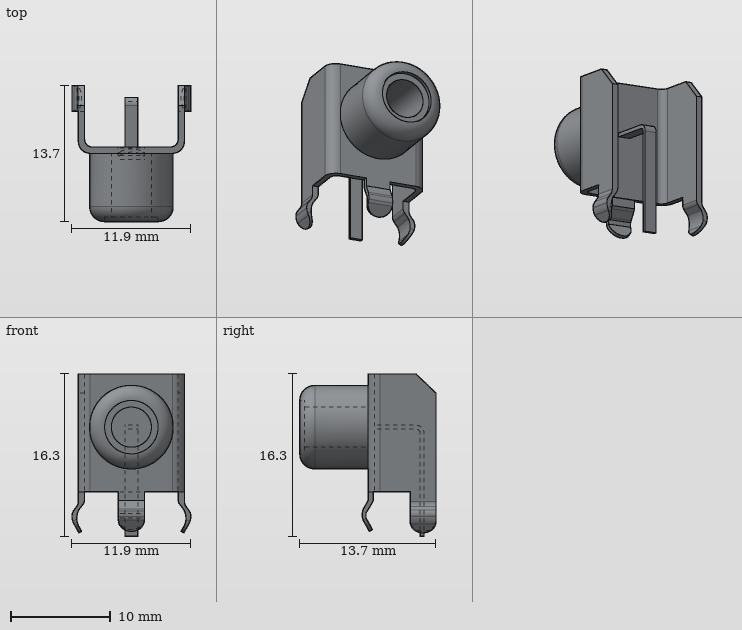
import cadquery as cq
import math


half_width = 5.33
sheet = 0.65
bend_radius = 1.19
inner_bend_radius = 0.73
bracket_top = 5.35
bracket_bottom = -6.49
bracket_depth = 6.82
corner_cut_depth = 2.02
corner_cut_height = 1.92

barrel_diameter = 8.4
barrel_length = 6.87
rim_diameter = 5.37
rim_recess_depth = 0.49
bore_diameter = 4.03
rim_radius = (barrel_diameter - rim_diameter) / 2

strip_width = 1.3
strip_thickness = 0.39
strip_bend_radius = 0.82
strip_rear = 5.61
overall_height = 16.31
strip_bottom = bracket_top - overall_height

side_leg_width = 2.61
front_leg_width = 2.65
tail_angle = 29.0
tail_drop = 1.63
tail_inset = tail_drop * math.tan(math.radians(tail_angle))
cap_reach = 16.31


def make_bracket():
    outer = (
        cq.Workplane("XY").workplane(offset=bracket_bottom)
        .rect(2 * half_width, 2 * bracket_depth)
        .extrude(bracket_top - bracket_bottom)
        .translate((0, bracket_depth, 0))
        .edges("|Z and <Y").fillet(bend_radius)
    )
    inner = (
        cq.Workplane("XY").workplane(offset=bracket_bottom)
        .rect(2 * (half_width - sheet), 2 * bracket_depth)
        .extrude(bracket_top - bracket_bottom)
        .translate((0, bracket_depth + sheet, 0))
        .edges("|Z and <Y").fillet(inner_bend_radius)
    )
    side_outline = (
        cq.Workplane("YZ")
        .moveTo(0, bracket_bottom)
        .lineTo(bracket_depth, bracket_bottom)
        .lineTo(bracket_depth, bracket_top - corner_cut_height)
        .lineTo(bracket_depth - corner_cut_depth, bracket_top)
        .lineTo(0, bracket_top)
        .close()
        .extrude(half_width, both=True)
    )
    return outer.cut(inner).intersect(side_outline)


def make_barrel():
    rim_start = barrel_length - rim_radius
    barrel = (
        cq.Workplane("XY")
        .lineTo(barrel_diameter / 2, 0)
        .lineTo(barrel_diameter / 2, -rim_start)
        .radiusArc((rim_diameter / 2, -barrel_length), rim_radius)
        .lineTo(0, -barrel_length)
        .close()
        .revolve(360, (0, 0, 0), (0, 1, 0))
    )
    bore = cq.Workplane("XZ").circle(bore_diameter / 2).extrude(barrel_length)
    recess = (
        cq.Workplane("XZ").workplane(offset=barrel_length - rim_recess_depth)
        .circle(rim_diameter / 2).extrude(rim_recess_depth)
    )
    return barrel.cut(bore).cut(recess)


def make_strip():
    strip_top = strip_thickness / 2
    inner_radius = strip_bend_radius - strip_thickness
    horizontal_end = strip_rear - strip_bend_radius
    vertical_start = strip_top - strip_bend_radius
    return (
        cq.Workplane("YZ")
        .moveTo(sheet / 2, strip_top)
        .lineTo(horizontal_end, strip_top)
        .radiusArc((strip_rear, vertical_start), strip_bend_radius)
        .lineTo(strip_rear, strip_bottom)
        .lineTo(strip_rear - strip_thickness, strip_bottom)
        .lineTo(strip_rear - strip_thickness, vertical_start)
        .radiusArc((horizontal_end, strip_top - strip_thickness), -inner_radius)
        .lineTo(sheet / 2, strip_top - strip_thickness)
        .close()
        .extrude(strip_width / 2, both=True)
    )


def round_tail(leg, width, cap_center):
    """Round the leg's tail with a half circle lying in the tail's sloping plane."""
    slope = math.radians(tail_angle)
    plane = cq.Plane(
        origin=(cap_center[0], 0, cap_center[1]),
        xDir=(0, 1, 0),
        normal=(math.cos(slope), 0, -math.sin(slope)),
    )
    disc = cq.Workplane(plane).circle(width / 2).extrude(cap_reach, both=True)
    shank = (
        cq.Workplane("XY").box(width, cap_reach, 2 * cap_reach)
        .translate((0, cap_reach / 2, 0))
        .val().moved(cq.Location(plane))
    )
    return leg.intersect(disc.union(cq.Workplane(shank)))


def make_side_leg():
    profile = (
        cq.Workplane("XZ")
        .lineTo(0, -0.98)
        .radiusArc((0.15, -1.45), -0.8)
        .lineTo(0.4, -1.81)
        .threePointArc((0.59, -2.12), (0.64, -2.45))
        .lineTo(0.64, -2.5)
        .threePointArc((0.59, -2.85), (0.44, -3.21))
        .line(-tail_inset, -tail_drop)
        .lineTo(-0.75, -4.68)
        .lineTo(-0.02, -3.38)
        .threePointArc((0.13, -2.61), (-0.08, -1.8))
        .lineTo(-0.47, -1.27)
        .radiusArc((-sheet, -0.82), 0.77)
        .lineTo(-sheet, 0)
        .close()
        .extrude(side_leg_width / 2, both=True)
    )
    return round_tail(profile, side_leg_width, (0.54, -2.97))


def make_front_leg():
    profile = (
        cq.Workplane("XZ")
        .lineTo(0, -0.85)
        .lineTo(0.49, -1.71)
        .lineTo(0.55, -1.92)
        .threePointArc((0.6, -2.2), (0.6, -2.5))
        .lineTo(0.52, -2.82)
        .line(-tail_inset, -tail_drop)
        .lineTo(-0.82, -4.47)
        .lineTo(0.21, -2.63)
        .lineTo(0.21, -2.15)
        .lineTo(0.1, -1.95)
        .lineTo(-0.38, -1.17)
        .lineTo(-0.52, -0.86)
        .lineTo(-0.52, 0)
        .close()
        .extrude(front_leg_width / 2, both=True)
    )
    return round_tail(profile, front_leg_width, (0.52, -2.82))


side_leg = make_side_leg().translate((half_width, bracket_depth - side_leg_width / 2, bracket_bottom))
front_leg = make_front_leg().rotate((0, 0, 0), (0, 0, 1), -90).translate((0, 0, bracket_bottom))

result = (
    make_bracket()
    .union(make_barrel())
    .union(make_strip())
    .union(side_leg)
    .union(side_leg.mirror("YZ"))
    .union(front_leg)
)